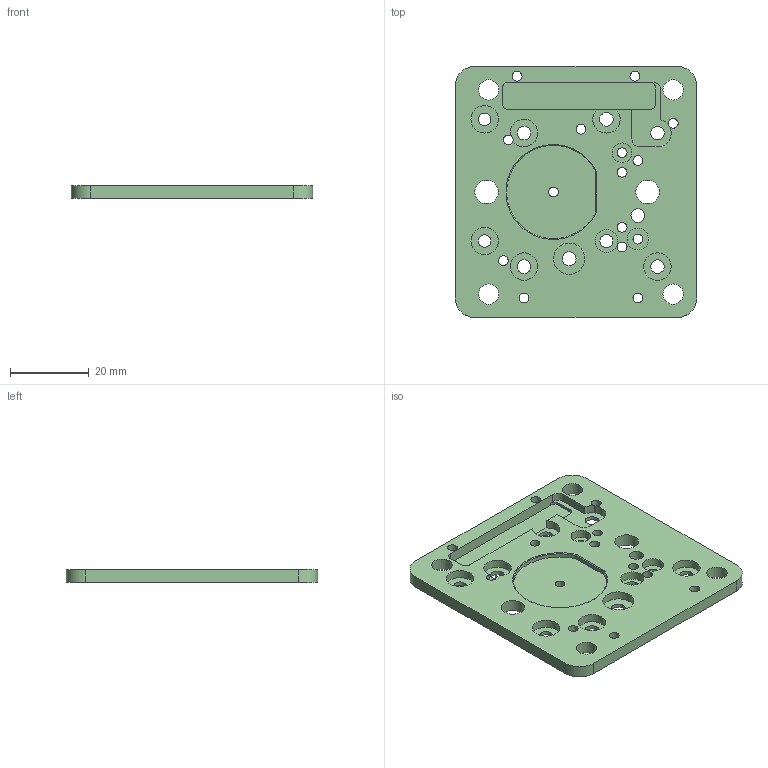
import cadquery as cq
import math

PLATE_X = 61.5
PLATE_Y = 64.0
THICKNESS = 3.18
CORNER_RADIUS = 5.0

DATUM_X = -5.75
DATUM_Y = 0.0

RECESS_RADIUS = 11.9
RECESS_FLAT_X = 10.75
RECESS_DEPTH = 1.2
RECESS_CHAMFER = 0.2

SLOT_LEFT = -13.0
SLOT_RIGHT = 26.0
SLOT_BOTTOM = 21.0
SLOT_TOP = 28.0
SLOT_CORNER_RADIUS = 1.5
SLOT_DEPTH = 2.9

SMALL_HOLE = 2.5
SMALL_SCREW_HOLE = 3.2
NARROW_HEAD_HOLE = 3.3
SCREW_HOLE = 3.5
CORNER_HOLE = 5.2
SIDE_HOLE = 6.0
UPPER_SMALL_HEAD = 5.0
LOWER_SMALL_HEAD = 5.5
NARROW_HEAD = 5.8
SCREW_HEAD = 7.0
WIDE_HEAD = 8.0
COUNTERBORE_DEPTH = 2.2

SQUARE_PITCH = 34.0
SQUARE_CENTER = (9.5, -2.0)
NARROW_PITCH = 31.0
NARROW_CENTER = (-2.0, 3.0)


def pattern_corner(center, pitch, side_x, side_y):
    """One corner of a square hole pattern; side_x and side_y are -1 or +1."""
    return (center[0] + side_x * pitch / 2, center[1] + side_y * pitch / 2)


SQUARE_CORNERS = [
    pattern_corner(SQUARE_CENTER, SQUARE_PITCH, side_x, side_y)
    for side_x in (-1, 1)
    for side_y in (-1, 1)
]
SIDE_POCKET_SCREW = pattern_corner(SQUARE_CENTER, SQUARE_PITCH, 1, 1)
NARROW_LEFT_CORNERS = [pattern_corner(NARROW_CENTER, NARROW_PITCH, -1, side_y) for side_y in (-1, 1)]
NARROW_TOP_RIGHT = pattern_corner(NARROW_CENTER, NARROW_PITCH, 1, 1)
NARROW_BOTTOM_RIGHT = pattern_corner(NARROW_CENTER, NARROW_PITCH, 1, -1)

SIDE_POCKET_LEFT = 20.0
SIDE_POCKET_RIGHT = 27.35
SIDE_POCKET_BOTTOM = SIDE_POCKET_SCREW[1] - SCREW_HEAD / 2
SIDE_POCKET_CORNER_RADIUS = 2.0

COUNTERBORED_HOLES = [
    (SCREW_HOLE, SCREW_HEAD, SQUARE_CORNERS + [NARROW_TOP_RIGHT]),
    (SMALL_SCREW_HOLE, SCREW_HEAD, NARROW_LEFT_CORNERS),
    (NARROW_HEAD_HOLE, NARROW_HEAD, [NARROW_BOTTOM_RIGHT]),
    (SCREW_HOLE, WIDE_HEAD, [(4.0, -17.0)]),
    (SMALL_HOLE, UPPER_SMALL_HEAD, [(17.5, 10.0)]),
    (SMALL_HOLE, LOWER_SMALL_HEAD, [(21.5, -12.0)]),
]

PLAIN_HOLES = [
    (CORNER_HOLE, [(-16.5, -26.0), (-16.5, 26.0), (30.5, -26.0), (30.5, 26.0)]),
    (SIDE_HOLE, [(-17.0, 0.0), (24.0, 0.0)]),
    (SCREW_HOLE, [(21.5, -6.0)]),
    (
        SMALL_HOLE,
        [
            (0.0, 0.0),
            (-9.25, 29.5),
            (20.75, 29.5),
            (-11.5, 13.25),
            (7.0, 16.0),
            (30.5, 17.5),
            (21.5, 8.0),
            (17.5, 5.0),
            (17.5, -9.0),
            (17.5, -14.0),
            (-12.75, -17.5),
            (-7.5, -27.0),
            (21.5, -27.0),
        ],
    ),
]


def make_plate():
    plate = cq.Workplane("XY").box(PLATE_X, PLATE_Y, THICKNESS, centered=(True, True, False))
    return plate.edges("|Z").fillet(CORNER_RADIUS)


def datum_plane(height):
    """Horizontal workplane at the given height with its origin on the recess axis."""
    return cq.Workplane("XY", origin=(DATUM_X, DATUM_Y, height))


def cylinders(centers, diameter, depth):
    """Cylinders reaching down from the top face by the given depth."""
    return datum_plane(THICKNESS - depth).pushPoints(centers).circle(diameter / 2).extrude(depth)


def rounded_pocket(left, right, bottom, top, corner_radius, depth):
    """Rectangular block with rounded corners, sunk from the top face."""
    block = (
        datum_plane(THICKNESS - depth)
        .center((left + right) / 2, (bottom + top) / 2)
        .rect(right - left, top - bottom)
        .extrude(depth)
    )
    return block.edges("|Z").fillet(corner_radius)


def cut_round_recess(plate):
    """Cut the recess into the still unbroken top face, so its rim is that face's only inner wire."""
    flat_y = math.sqrt(RECESS_RADIUS**2 - RECESS_FLAT_X**2)
    recess = (
        datum_plane(THICKNESS - RECESS_DEPTH)
        .moveTo(RECESS_FLAT_X, flat_y)
        .threePointArc((-RECESS_RADIUS, 0), (RECESS_FLAT_X, -flat_y))
        .close()
        .extrude(RECESS_DEPTH)
    )
    plate = plate.cut(recess)
    rim = plate.faces(">Z").val().innerWires()[0]
    return plate.newObject(rim.Edges()).chamfer(RECESS_CHAMFER)


def cut_slot_and_side_pocket(plate):
    slot = rounded_pocket(SLOT_LEFT, SLOT_RIGHT, SLOT_BOTTOM, SLOT_TOP, SLOT_CORNER_RADIUS, SLOT_DEPTH)
    side_pocket = rounded_pocket(
        SIDE_POCKET_LEFT,
        SIDE_POCKET_RIGHT,
        SIDE_POCKET_BOTTOM,
        SLOT_TOP,
        SIDE_POCKET_CORNER_RADIUS,
        COUNTERBORE_DEPTH,
    )
    return plate.cut(slot).cut(side_pocket)


def cut_holes(plate):
    for hole_diameter, counterbore_diameter, centers in COUNTERBORED_HOLES:
        plate = plate.cut(cylinders(centers, counterbore_diameter, COUNTERBORE_DEPTH))
        plate = plate.cut(cylinders(centers, hole_diameter, THICKNESS))
    for diameter, centers in PLAIN_HOLES:
        plate = plate.cut(cylinders(centers, diameter, THICKNESS))
    return plate


result = cut_holes(cut_slot_and_side_pocket(cut_round_recess(make_plate())))